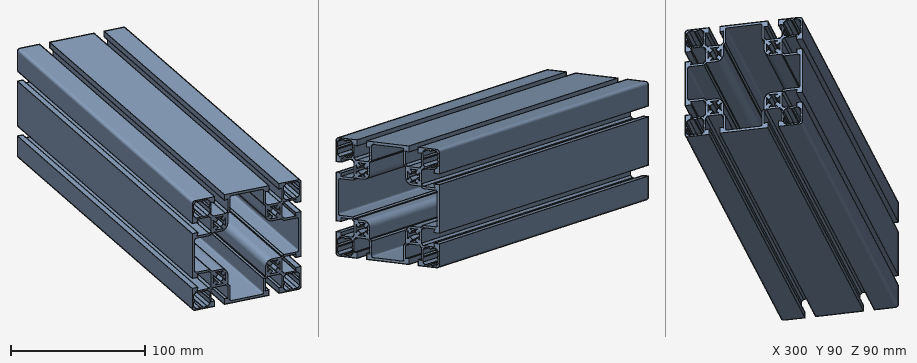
import cadquery as cq
import math

length = 300.0
side = 90.0
slot_center = 22.5
slot_opening = 8.2
slot_width = 13.7
lip_depth = 4.6
lip_root_depth = 4.3
outer_radius = 2.5

skin = 2.0
slot_wall = 1.7
cell_wall = 1.2
cell_corner_chamfer = 1.9
cell_rib_height = 0.9
cell_rib_width = 2.4
joint_chamfer = 1.7
wall_end_bevel = 1.2
neck_bevel = 0.4
chamber_radius = 1.5
core_radius = 5.5
pad_distance = 3.1
lobe_neck_width = 2.0
lobe_base_width = 6.0
lobe_reach = 5.1

half = side / 2
slot_inner = slot_center - slot_width / 2
slot_outer = slot_center + slot_width / 2
chamber_edge = slot_outer + slot_wall
core_place = half - slot_center
cell_center = slot_inner / 2


def extrude_square(width):
    """Full-length square prism around the X axis."""
    return cq.Workplane("YZ").rect(width, width).extrude(length)


def extrude_outline(points):
    """Full-length prism from a closed YZ outline."""
    return cq.Workplane("YZ").polyline(points).close().extrude(length)


def turned(shape, quarter_turns):
    """Shape rotated about the section center in steps of 90 degrees."""
    return shape.rotate((0, 0, 0), (1, 0, 0), 90 * quarter_turns)


def make_slot():
    """T-slot in the top face: opening, undercut lips and wider inside."""
    mouth = slot_opening / 2
    wide = slot_width / 2
    floor_z = half - slot_inner
    right_side = [
        (mouth, half),
        (mouth, half - lip_depth),
        (wide, half - lip_root_depth),
        (wide, floor_z + joint_chamfer),
        (wide - joint_chamfer, floor_z),
    ]
    left_side = [(-y, z) for y, z in reversed(right_side)]
    return extrude_outline(right_side + left_side)


def make_chamber():
    """Cross-shaped central chamber, leaving a rounded core in each corner."""
    arm_end = half - skin
    arm = half - chamber_edge
    waist = half - slot_outer
    shoulder = half - slot_inner
    arc_start = waist + core_radius
    arc_middle = waist + core_radius * (1 - math.sqrt(0.5))

    arm_side = [
        (arm, arm_end),
        (arm, shoulder + wall_end_bevel),
        (arm + wall_end_bevel, shoulder),
        (waist - neck_bevel, shoulder),
        (waist, shoulder - neck_bevel),
        (waist, arc_start),
    ]
    mirrored_side = [(z, y) for y, z in reversed(arm_side)]
    outline = cq.Workplane("YZ").polyline([(0, 0), (0, arm_end)] + arm_side)
    outline = outline.threePointArc((arc_middle, arc_middle), mirrored_side[0])
    for point in mirrored_side[1:] + [(arm_end, 0)]:
        outline = outline.lineTo(*point)
    quarter = outline.close().extrude(length)

    for y, z in ((arm, arm_end), (arm_end, arm)):
        corner = cq.selectors.NearestToPointSelector((length / 2, y, z))
        quarter = quarter.edges(corner).fillet(chamber_radius)

    chamber = quarter
    for turn in range(1, 4):
        chamber = chamber.union(turned(quarter, turn))
    return chamber


def make_cell_cavity():
    """Hollow of a corner cell with bevelled corners and a rib on each wall."""
    cavity_side = slot_inner - 2 * cell_wall
    cavity = extrude_square(cavity_side).edges("|X").chamfer(cell_corner_chamfer)
    wall = cavity_side / 2
    rib = extrude_outline([
        (-cell_rib_width / 2, wall),
        (0, wall - cell_rib_height),
        (cell_rib_width / 2, wall),
    ])
    for turn in range(4):
        cavity = cavity.cut(turned(rib, turn))
    place = half - cell_center
    return cavity.translate((0, place, place))


def make_core_bore():
    """Core bore with four flat thread pads, split by dovetail lobes."""
    neck = lobe_neck_width / 2
    base = lobe_base_width / 2
    neck_reach = pad_distance * math.sqrt(2) - neck
    lobe = extrude_outline([
        (0, 0),
        (-neck_reach, neck),
        (-neck, neck_reach),
        (-base, lobe_reach),
        (base, lobe_reach),
        (neck, neck_reach),
        (neck_reach, neck),
    ])
    bore = lobe
    for turn in range(1, 4):
        bore = bore.union(turned(lobe, turn))
    return bore.translate((0, core_place, core_place))


def make_profile():
    """Square bar with the chamber, eight slots, four cells and four core bores removed."""
    profile = extrude_square(side).edges("|X").fillet(outer_radius)
    profile = profile.cut(make_chamber())
    slot = make_slot()
    cell_cavity = make_cell_cavity()
    core_bore = make_core_bore()
    for turn in range(4):
        for slot_y in (-core_place, core_place):
            profile = profile.cut(turned(slot.translate((0, slot_y, 0)), turn))
        profile = profile.cut(turned(cell_cavity, turn))
        profile = profile.cut(turned(core_bore, turn))
    return profile


result = make_profile()